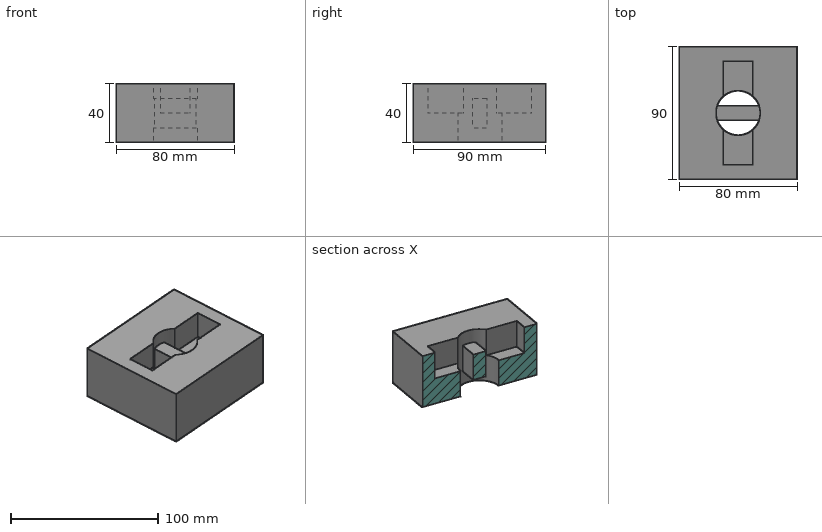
import cadquery as cq

block_width = 80.0
block_length = 90.0
block_height = 40.0

hole_diameter = 30.0

slot_width = 20.0
slot_length = 70.0
slot_depth = 20.0

bar_width = 10.0
bar_top_depth = 10.0
bar_height = block_height - 2 * bar_top_depth
bar_length = hole_diameter + bar_width


def make_block():
    """Block centred on the origin."""
    return cq.Workplane("XY").box(block_width, block_length, block_height)


def make_hole():
    """Cylinder through the full block height."""
    return cq.Workplane("XY").circle(hole_diameter / 2).extrude(block_height / 2, both=True)


def make_slot():
    """Square-ended slot cutter, open at the top face."""
    top = cq.Workplane("XY").workplane(offset=block_height / 2)
    return top.rect(slot_width, slot_length).extrude(-slot_depth)


def make_crossbar():
    """Bar across the hole, at mid-height of the block."""
    bar_top = cq.Workplane("XY").workplane(offset=block_height / 2 - bar_top_depth)
    return bar_top.rect(bar_length, bar_width).extrude(-bar_height)


result = make_block().cut(make_hole()).cut(make_slot()).union(make_crossbar())